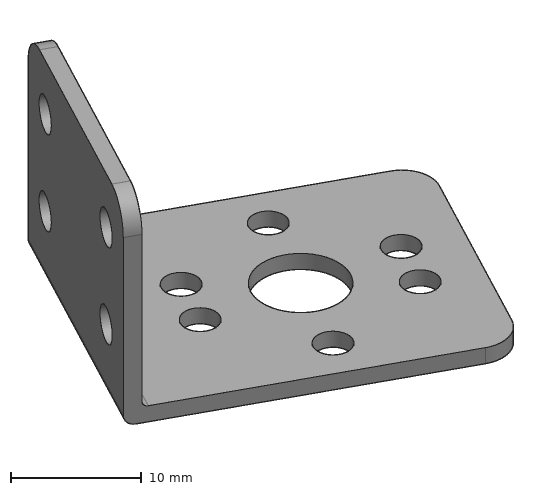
import cadquery as cq

WIDTH = 25.0
BASE_LENGTH = 32.0
WALL_HEIGHT = 20.5
THICKNESS = 1.5

CORNER_RADIUS = 3.0
BEND_INNER_RADIUS = 0.5
BEND_OUTER_RADIUS = 1.0

SMALL_HOLE_DIAMETER = 3.2
CENTER_HOLE_DIAMETER = 8.0
CENTER_HOLE_Y = 18.0
SIDE_HOLE_OFFSET = 8.5
PAIR_OFFSET_X = 2.5
PAIR_OFFSET_Y = 8.8

WALL_HOLE_OFFSET_X = 8.0
WALL_HOLE_HEIGHTS = (6.5, 15.5)


def make_bent_plate():
    """Plain L-profile extruded across the width, with a rounded bend."""
    profile = [
        (0, 0),
        (BASE_LENGTH, 0),
        (BASE_LENGTH, THICKNESS),
        (THICKNESS, THICKNESS),
        (THICKNESS, WALL_HEIGHT),
        (0, WALL_HEIGHT),
    ]
    plate = cq.Workplane("YZ").polyline(profile).close().extrude(WIDTH / 2, both=True)
    inner_bend = cq.selectors.NearestToPointSelector((0, THICKNESS, THICKNESS))
    plate = plate.edges(inner_bend).fillet(BEND_INNER_RADIUS)
    outer_bend = cq.selectors.NearestToPointSelector((0, 0, 0))
    return plate.edges(outer_bend).fillet(BEND_OUTER_RADIUS)


def round_free_corners(plate):
    """Round the two outer corners of the base and of the wall."""
    plate = plate.faces(">Y").edges("|Z").fillet(CORNER_RADIUS)
    return plate.faces(">Z").edges("|Y").fillet(CORNER_RADIUS)


def base_drill(points, diameter):
    """Vertical cylinders through the base at the given (X, Y) points."""
    return cq.Workplane("XY").pushPoints(points).circle(diameter / 2).extrude(THICKNESS)


def wall_drill(points, diameter):
    """Cylinders along Y through the wall at the given (X, Z) points."""
    return cq.Workplane("XZ").pushPoints(points).circle(diameter / 2).extrude(-THICKNESS)


base_holes = []
wall_holes = []
for side in (-1, 1):
    base_holes.append((side * SIDE_HOLE_OFFSET, CENTER_HOLE_Y))
    for end in (-1, 1):
        base_holes.append((side * PAIR_OFFSET_X, CENTER_HOLE_Y + end * PAIR_OFFSET_Y))
    for height in WALL_HOLE_HEIGHTS:
        wall_holes.append((side * WALL_HOLE_OFFSET_X, height))

bracket = round_free_corners(make_bent_plate())
bracket = bracket.cut(base_drill([(0, CENTER_HOLE_Y)], CENTER_HOLE_DIAMETER))
bracket = bracket.cut(base_drill(base_holes, SMALL_HOLE_DIAMETER))
result = bracket.cut(wall_drill(wall_holes, SMALL_HOLE_DIAMETER))